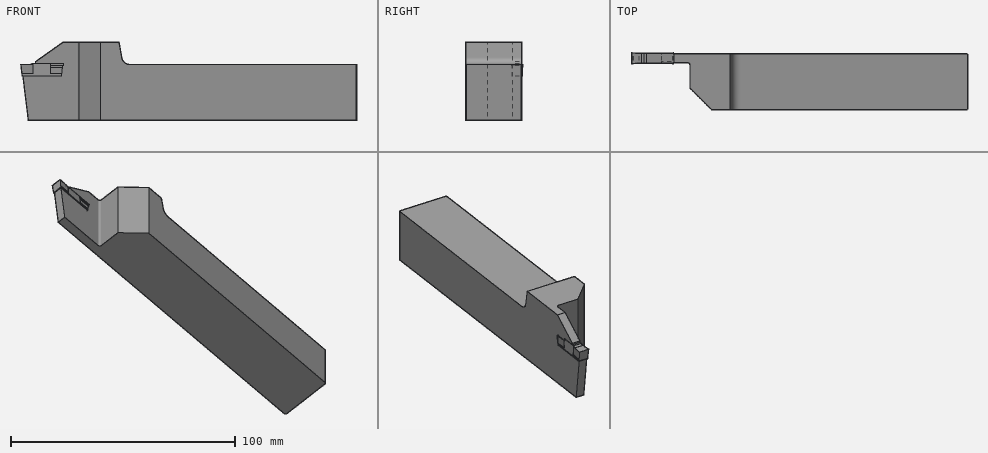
import cadquery as cq
import math


TOOL_LENGTH = 150.0
SHANK_SIZE = 25.0
HEAD_HEIGHT = 35.0
HEAD_START = 26.0
HEAD_CHAMFER = 9.8
HEAD_TOP_START = 18.9
HEAD_TOP_END = 44.0
HEAD_BACK_ANGLE = 10.0
HEAD_BACK_FILLET = 3.5
END_CHAMFER = 0.5

BLADE_THICKNESS = 4.0
BLADE_FILLET = 1.0
BLADE_SETBACK = 0.3
JAW_TIP = 6.6
JAW_NOSE_HEIGHT = 0.8

INSERT_LENGTH = 18.8
INSERT_WIDTH = 5.0
BASE_WIDTH = 4.6
INSERT_BOTTOM = 20.0
INSERT_TOP = 25.5
BASE_TOP = 20.8
CUTTING_HEIGHT = SHANK_SIZE
REAR_EDGE_HEIGHT = 24.6
BITE_LENGTH = 5.5
RAMP_LENGTH = 1.2
BITE_BACK_TAPER = 0.3
BITE_SIDE_RELIEF = 2.0
CLEARANCE_ANGLE = 7.0

CLEARANCE_DEPTH = 0.6
CLEARANCE_OVERHANG = 0.5
LAND_HEIGHT = 0.9
LAND_DEPTH = 0.2

blade_front = SHANK_SIZE - BLADE_THICKNESS
insert_middle = SHANK_SIZE - BLADE_THICKNESS / 2
clearance_slope = math.tan(math.radians(CLEARANCE_ANGLE))
body_end = INSERT_LENGTH - BITE_LENGTH


def edge_setback(edge_height, height=INSERT_BOTTOM):
    """Distance that an end face has leaned in from its cutting edge at a given height."""
    return (edge_height - height) * clearance_slope


def prism_along_y(points, y_start, y_end):
    """Solid between two Y positions with the given XZ outline."""
    outline = cq.Workplane("XZ", origin=(0, y_start, 0)).polyline(points).close()
    return outline.extrude(y_start - y_end)


def make_side_profile():
    """Holder outline seen from the side: leaning blade front, jaw, head and shank."""
    head_back_run = (HEAD_HEIGHT - SHANK_SIZE) * math.tan(math.radians(HEAD_BACK_ANGLE))
    head_back_foot = HEAD_TOP_END + head_back_run
    blade_toe = BLADE_SETBACK + edge_setback(CUTTING_HEIGHT, 0)
    points = [
        (blade_toe, 0),
        (TOOL_LENGTH, 0),
        (TOOL_LENGTH, SHANK_SIZE),
        (head_back_foot, SHANK_SIZE),
        (HEAD_TOP_END, HEAD_HEIGHT),
        (HEAD_TOP_START, HEAD_HEIGHT),
        (JAW_TIP, INSERT_TOP + JAW_NOSE_HEIGHT),
        (JAW_TIP, INSERT_BOTTOM),
        (BLADE_SETBACK + edge_setback(CUTTING_HEIGHT), INSERT_BOTTOM),
    ]
    profile = prism_along_y(points, 0, SHANK_SIZE)
    head_back_corner = cq.selectors.NearestToPointSelector((head_back_foot, SHANK_SIZE / 2, SHANK_SIZE))
    return profile.edges(head_back_corner).fillet(HEAD_BACK_FILLET)


def make_plan():
    """Holder outline seen from above: thin blade widening to the chamfered head and shank."""
    plan = (
        cq.Workplane("XY")
        .moveTo(0, SHANK_SIZE)
        .lineTo(0, blade_front)
        .lineTo(HEAD_START, blade_front)
        .lineTo(HEAD_START, HEAD_CHAMFER)
        .lineTo(HEAD_START + HEAD_CHAMFER, 0)
        .lineTo(TOOL_LENGTH, 0)
        .lineTo(TOOL_LENGTH, SHANK_SIZE)
        .close()
        .extrude(HEAD_HEIGHT)
    )
    blade_root = cq.selectors.NearestToPointSelector((HEAD_START, blade_front, HEAD_HEIGHT / 2))
    plan = plan.edges(blade_root).fillet(BLADE_FILLET)
    return plan.faces(">X").edges("|Z").chamfer(END_CHAMFER)


def make_pocket():
    """Slot through the blade that matches the side outline of the seated insert."""
    points = [
        (0, INSERT_BOTTOM),
        (INSERT_LENGTH - edge_setback(REAR_EDGE_HEIGHT), INSERT_BOTTOM),
        (INSERT_LENGTH, REAR_EDGE_HEIGHT),
        (body_end, REAR_EDGE_HEIGHT),
        (body_end, INSERT_TOP),
        (0, INSERT_TOP),
    ]
    return prism_along_y(points, 0, 2 * SHANK_SIZE)


def make_edge_clearance():
    """Shallow recess in the blade's front side above the rear cutting edge."""
    clearance_end = INSERT_LENGTH + CLEARANCE_OVERHANG
    return cq.Workplane("XY").box(
        clearance_end - body_end, CLEARANCE_DEPTH, INSERT_TOP - REAR_EDGE_HEIGHT, centered=False
    ).translate((body_end, blade_front, REAR_EDGE_HEIGHT))


def make_holder():
    return make_side_profile().intersect(make_plan()).cut(make_pocket()).cut(make_edge_clearance())


def make_insert_body():
    """Centre block and base strip, with sides leaning in from the base width to the blade thickness."""
    cross_section = [
        (insert_middle - BASE_WIDTH / 2, INSERT_BOTTOM),
        (insert_middle + BASE_WIDTH / 2, INSERT_BOTTOM),
        (insert_middle + BLADE_THICKNESS / 2, INSERT_TOP),
        (insert_middle - BLADE_THICKNESS / 2, INSERT_TOP),
    ]
    bar = cq.Workplane("YZ").polyline(cross_section).close().extrude(INSERT_LENGTH)
    side_outline = [
        (edge_setback(CUTTING_HEIGHT), INSERT_BOTTOM),
        (INSERT_LENGTH - edge_setback(REAR_EDGE_HEIGHT), INSERT_BOTTOM),
        (INSERT_LENGTH - edge_setback(REAR_EDGE_HEIGHT, BASE_TOP), BASE_TOP),
        (body_end, BASE_TOP),
        (body_end, INSERT_TOP),
        (BITE_LENGTH, INSERT_TOP),
        (BITE_LENGTH - RAMP_LENGTH, CUTTING_HEIGHT),
        (BITE_LENGTH, CUTTING_HEIGHT),
        (BITE_LENGTH, BASE_TOP),
        (edge_setback(CUTTING_HEIGHT, BASE_TOP), BASE_TOP),
    ]
    return bar.intersect(prism_along_y(side_outline, 0, 2 * SHANK_SIZE))


def make_bite(edge_height):
    """Cutting end with its edge at X = 0, narrowing away from the edge and relieved below it."""
    edge_half_width = INSERT_WIDTH / 2
    root_half_width = edge_half_width - BITE_BACK_TAPER
    plan = [
        (0, -edge_half_width),
        (BITE_LENGTH, -root_half_width),
        (BITE_LENGTH, root_half_width),
        (0, edge_half_width),
    ]
    relief = (edge_height - BASE_TOP) * math.tan(math.radians(BITE_SIDE_RELIEF))
    lower_plan = [(x, y - math.copysign(relief, y)) for x, y in plan]
    block = (
        cq.Workplane("XY", origin=(0, insert_middle, edge_height))
        .polyline(plan)
        .close()
        .workplane(offset=BASE_TOP - edge_height)
        .polyline(lower_plan)
        .close()
        .loft(ruled=True)
    )
    side_outline = [
        (0, edge_height),
        (BITE_LENGTH, edge_height),
        (BITE_LENGTH, BASE_TOP),
        (edge_setback(edge_height, BASE_TOP), BASE_TOP),
    ]
    return block.intersect(prism_along_y(side_outline, 0, 2 * SHANK_SIZE))


def make_rear_bite():
    """Unused cutting end, turned to face the rear, with a narrow land along its front side."""
    bite = make_bite(REAR_EDGE_HEIGHT).mirror("YZ").translate((INSERT_LENGTH, 0, 0))
    land_bottom = REAR_EDGE_HEIGHT - LAND_HEIGHT
    step_depth = BITE_BACK_TAPER + LAND_DEPTH
    step = cq.Workplane("XY").box(
        BITE_LENGTH, step_depth, land_bottom - BASE_TOP, centered=False
    ).translate((body_end, insert_middle - INSERT_WIDTH / 2, BASE_TOP))
    return bite.cut(step)


def make_insert():
    return make_insert_body().union(make_bite(CUTTING_HEIGHT)).union(make_rear_bite())


holder = make_holder()
insert = make_insert()

result = cq.Compound.makeCompound([holder.val(), insert.val()])